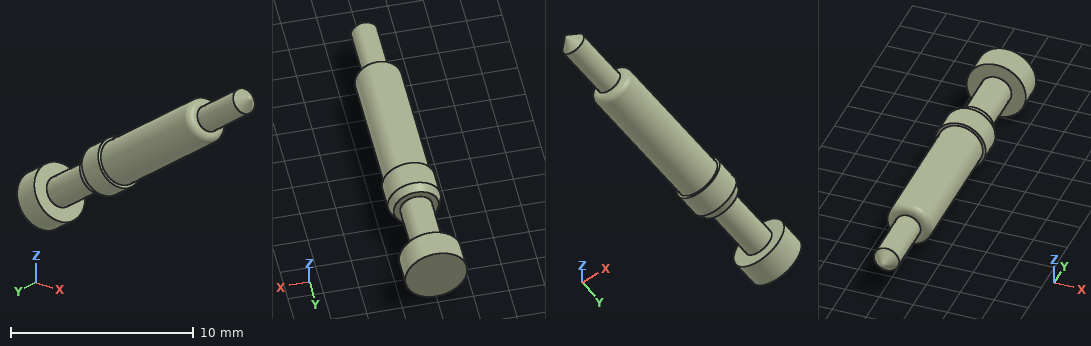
import cadquery as cq


HEAD_DIAMETER = 3.5
NECK_DIAMETER = 1.8
COLLAR_DIAMETER = 3.0
BODY_DIAMETER = 2.65
PIN_DIAMETER = 1.5

TOTAL_LENGTH = 19.2
HEAD_LENGTH = 1.6
NECK_LENGTH = 3.51
COLLAR_LENGTH = 2.0
BODY_LENGTH = 8.06

COLLAR_TAPER_LENGTH = 0.5
COLLAR_TAPER_DEPTH = 0.23
BODY_END_RADIUS = 0.4
TIP_LENGTH = PIN_DIAMETER / 2

HEAD_FACE = TOTAL_LENGTH / 2
HEAD_BACK = HEAD_FACE - HEAD_LENGTH
COLLAR_START = HEAD_BACK - NECK_LENGTH
COLLAR_END = COLLAR_START - COLLAR_LENGTH
BODY_END = COLLAR_END - BODY_LENGTH
TIP = HEAD_FACE - TOTAL_LENGTH


def cylinder(diameter, y_from, y_to):
    """Round bar along Y; y_from is the +Y end."""
    return (
        cq.Workplane("XZ", origin=(0, y_from, 0))
        .circle(diameter / 2)
        .extrude(y_from - y_to)
    )


head = cylinder(HEAD_DIAMETER, HEAD_FACE, HEAD_BACK)
neck = cylinder(NECK_DIAMETER, HEAD_BACK, COLLAR_START)

collar = (
    cylinder(COLLAR_DIAMETER, COLLAR_START, COLLAR_END)
    .faces(">Y")
    .chamfer(COLLAR_TAPER_LENGTH, COLLAR_TAPER_DEPTH)
)

body = cylinder(BODY_DIAMETER, COLLAR_END, BODY_END).faces("<Y").edges().fillet(BODY_END_RADIUS)

pin_radius = PIN_DIAMETER / 2
pin = (
    cq.Workplane("XY")
    .moveTo(0, BODY_END)
    .lineTo(pin_radius, BODY_END)
    .lineTo(pin_radius, TIP + TIP_LENGTH)
    .lineTo(0, TIP)
    .close()
    .revolve(360, (0, 0, 0), (0, 1, 0))
)

result = head.union(neck).union(collar).union(body).union(pin)